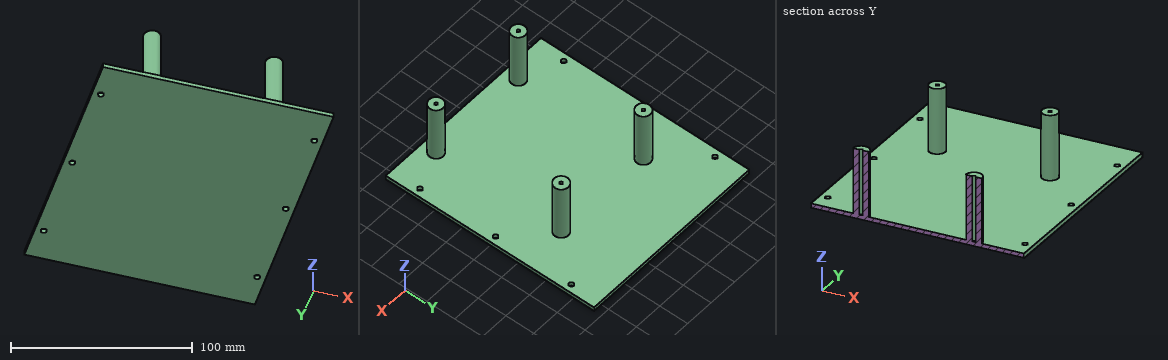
import cadquery as cq

plate_width = 132.5
plate_length = 150.0
plate_thickness = 3.0

mount_hole_diameter = 3.2
mount_hole_edge_distance = 5.0
mount_hole_pitch = 54.5
mount_holes_per_side = 3

total_height = 43.0
post_height = total_height - plate_thickness
post_diameter = 10.0
post_spacing_x = 70.0
post_spacing_y = 90.0
post_front_edge_distance = 10.0
pilot_hole_diameter = 2.0

mount_spacing_x = plate_width - 2 * mount_hole_edge_distance
post_pattern_y = (post_front_edge_distance + post_spacing_y / 2) - plate_length / 2


def make_plate():
    """Flat rectangular plate with a row of through holes near each long edge."""
    plate = cq.Workplane("XY").box(
        plate_width, plate_length, plate_thickness, centered=(True, True, False)
    )
    return (
        plate.faces(">Z")
        .workplane()
        .rarray(mount_spacing_x, mount_hole_pitch, 2, mount_holes_per_side)
        .hole(mount_hole_diameter)
    )


def post_cylinders(diameter):
    """Four cylinders on the post centres, from the plate top to the post tops."""
    return (
        cq.Workplane("XY", origin=(0, post_pattern_y, plate_thickness))
        .rarray(post_spacing_x, post_spacing_y, 2, 2)
        .circle(diameter / 2)
        .extrude(post_height)
    )


posts = post_cylinders(post_diameter)
pilot_holes = post_cylinders(pilot_hole_diameter)
result = make_plate().union(posts).cut(pilot_holes)